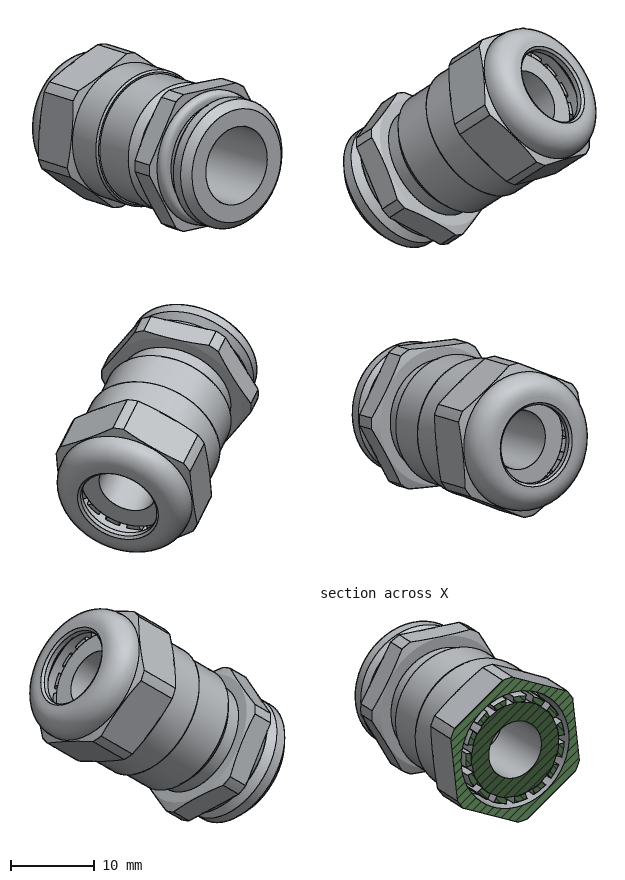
import cadquery as cq
import math


OVERALL_LENGTH = 29.5
HEX_FLATS = 17.0
HEX_CORNER_RADIUS = 9.45
HEX_CHAMFER_LENGTH = 0.32
BARREL_RADIUS = 8.38
THREAD_RADIUS = 7.95
GROOVE_RADIUS = 7.0
PASSAGE_RADIUS = 4.8

CAP_END = 13.57
DOME_RADIUS = 2.5
CAP_HEX_START = 2.98
CAP_HEX_END = 9.0
CAP_HEX_ANGLE = 23.5
CAP_REAR_CHAMFER = 0.25
MOUTH_CHAMFER = 0.3
LIP_DEPTH = 0.95
CAVITY_RADIUS = 7.4
CAVITY_CONE_END = 3.07

FINGER_TIP = 3.63
FINGER_COUNT = 15
FINGER_OUTER_RADIUS = 6.9
FINGER_TIP_FILLET = 0.6
SLOT_WIDTH = 1.0
SEAL_RADIUS = 6.02
SEAL_BORE_RADIUS = 3.6

FITTING_START = 9.0
SOCKET_END = 13.28
REAR_GROOVE_START = 19.76
FITTING_HEX_START = 21.54
FITTING_HEX_END = 24.55
END_THREAD_START = 26.23
END_CHAMFER = 0.97
THREAD_RUNOUT = THREAD_RADIUS - GROOVE_RADIUS

RING_RADIUS = 8.25
RING_FILLET = 0.77
RING_END = 25.65


def revolved(profile):
    """Turn a closed (X, radius) profile into a solid around the X axis."""
    return profile.close().revolve(360, (0, 0, 0), (1, 0, 0))


def turned(points):
    """Turned solid with a straight-sided (X, radius) profile."""
    return revolved(cq.Workplane("XZ").polyline(points))


def cylinder(start, end, radius):
    """Plain cylinder on the X axis."""
    return turned([(start, 0), (end, 0), (end, radius), (start, radius)])


def hexagon(start, end, chamfer_end):
    """Hexagon with corners on +-Y, rounded corners and a chamfered -X end (and +X end if asked)."""
    blank_points = [
        (start, 0),
        (start, BARREL_RADIUS),
        (start + HEX_CHAMFER_LENGTH, HEX_CORNER_RADIUS),
    ]
    if chamfer_end:
        blank_points += [(end - HEX_CHAMFER_LENGTH, HEX_CORNER_RADIUS), (end, BARREL_RADIUS)]
    else:
        blank_points.append((end, HEX_CORNER_RADIUS))
    blank_points.append((end, 0))
    across_corners = HEX_FLATS / math.cos(math.pi / 6)
    prism = cq.Workplane("YZ").workplane(offset=start).polygon(6, across_corners).extrude(end - start)
    return prism.intersect(turned(blank_points))


def make_cap_nut():
    """Domed nut with a hexagon, a plain barrel and a tapered cavity."""
    dome_mid = DOME_RADIUS * (1 - math.sqrt(0.5))
    barrel = revolved(
        cq.Workplane("XZ")
        .moveTo(0, 0)
        .lineTo(0, BARREL_RADIUS - DOME_RADIUS)
        .threePointArc((dome_mid, BARREL_RADIUS - dome_mid), (DOME_RADIUS, BARREL_RADIUS))
        .lineTo(CAP_END - CAP_REAR_CHAMFER, BARREL_RADIUS)
        .lineTo(CAP_END, BARREL_RADIUS - CAP_REAR_CHAMFER)
        .lineTo(CAP_END, 0)
    )
    nut_hexagon = hexagon(CAP_HEX_START, CAP_HEX_END, chamfer_end=True)
    cavity = turned([
        (0, 0),
        (0, PASSAGE_RADIUS + MOUTH_CHAMFER),
        (MOUTH_CHAMFER, PASSAGE_RADIUS),
        (LIP_DEPTH, PASSAGE_RADIUS),
        (CAVITY_CONE_END, CAVITY_RADIUS),
        (FITTING_START, CAVITY_RADIUS),
        (FITTING_START, THREAD_RADIUS),
        (CAP_END, THREAD_RADIUS),
        (CAP_END, 0),
    ])
    return barrel.union(nut_hexagon).cut(cavity).rotate((0, 0, 0), (1, 0, 0), CAP_HEX_ANGLE)


def make_finger_ring():
    """Sleeve slotted from its -X end into equal fingers with rounded tips."""
    fillet_mid = FINGER_TIP_FILLET * (1 - math.sqrt(0.5))
    sleeve = revolved(
        cq.Workplane("XZ")
        .moveTo(FINGER_TIP, SEAL_RADIUS)
        .lineTo(FINGER_TIP, FINGER_OUTER_RADIUS - FINGER_TIP_FILLET)
        .threePointArc(
            (FINGER_TIP + fillet_mid, FINGER_OUTER_RADIUS - fillet_mid),
            (FINGER_TIP + FINGER_TIP_FILLET, FINGER_OUTER_RADIUS),
        )
        .lineTo(SOCKET_END, FINGER_OUTER_RADIUS)
        .lineTo(SOCKET_END, SEAL_RADIUS)
    )
    slot_length = FITTING_START - FINGER_TIP
    slot = (
        cq.Workplane("XY")
        .box(slot_length, FINGER_OUTER_RADIUS, SLOT_WIDTH, centered=(False, False, True))
        .translate((FINGER_TIP, SEAL_RADIUS / 2, 0))
    )
    pitch = 360 / FINGER_COUNT
    for index in range(FINGER_COUNT):
        slot_angle = (index + 0.5) * pitch
        sleeve = sleeve.cut(slot.rotate((0, 0, 0), (1, 0, 0), slot_angle))
    return sleeve.rotate((0, 0, 0), (1, 0, 0), CAP_HEX_ANGLE)


def make_seal():
    """Rubber sleeve inside the fingers."""
    return cylinder(FINGER_TIP, SOCKET_END, SEAL_RADIUS).cut(
        cylinder(FINGER_TIP, SOCKET_END, SEAL_BORE_RADIUS)
    )


def make_fitting():
    """Threaded body with a hexagon between two undercuts and a stepped bore."""
    shank = turned([
        (FITTING_START, 0),
        (FITTING_START, THREAD_RADIUS),
        (REAR_GROOVE_START - THREAD_RUNOUT, THREAD_RADIUS),
        (REAR_GROOVE_START, GROOVE_RADIUS),
        (END_THREAD_START, GROOVE_RADIUS),
        (END_THREAD_START + THREAD_RUNOUT, THREAD_RADIUS),
        (OVERALL_LENGTH - END_CHAMFER, THREAD_RADIUS),
        (OVERALL_LENGTH, THREAD_RADIUS - END_CHAMFER),
        (OVERALL_LENGTH, 0),
    ])
    collar = hexagon(FITTING_HEX_START, FITTING_HEX_END, chamfer_end=False)
    socket = cylinder(FITTING_START, SOCKET_END, FINGER_OUTER_RADIUS)
    passage = cylinder(SOCKET_END, OVERALL_LENGTH, PASSAGE_RADIUS)
    return shank.union(collar).cut(socket).cut(passage)


def make_o_ring():
    """Sealing ring in the undercut behind the hexagon, rounded on its +X side."""
    fillet_start = RING_END - RING_FILLET
    fillet_offset = RING_FILLET * math.sqrt(0.5)
    return revolved(
        cq.Workplane("XZ")
        .moveTo(FITTING_HEX_END, GROOVE_RADIUS)
        .lineTo(FITTING_HEX_END, RING_RADIUS)
        .lineTo(fillet_start, RING_RADIUS)
        .threePointArc(
            (fillet_start + fillet_offset, RING_RADIUS - RING_FILLET + fillet_offset),
            (RING_END, RING_RADIUS - RING_FILLET),
        )
        .lineTo(RING_END, GROOVE_RADIUS)
    )


cap_nut = make_cap_nut()
finger_ring = make_finger_ring()
seal = make_seal()
fitting = make_fitting()
o_ring = make_o_ring()

result = cq.Compound.makeCompound([
    cap_nut.val(),
    finger_ring.val(),
    seal.val(),
    fitting.val(),
    o_ring.val(),
])